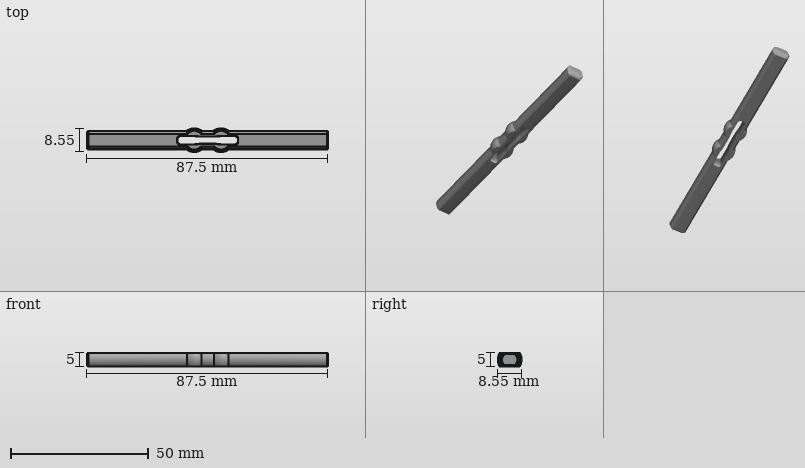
import cadquery as cq

bar_length = 87.5
bar_diameter = 6.7
thickness = 5.0
end_chamfer = 0.5

bulge_diameter = 8.55
bulge_spacing = 9.75

slot_length = 22.0
slot_width = 3.0
slot_corner_radius = 1.0
waist_width = 2.55
waist_length = 5.75
waist_taper_start = bulge_spacing / 2


def flat_slab():
    """Space between the top and bottom flats."""
    return cq.Workplane("XY").box(bar_length, bulge_diameter, thickness)


def bar():
    """Flatted rod with chamfered ends."""
    rod = (
        cq.Workplane("YZ")
        .circle(bar_diameter / 2)
        .extrude(bar_length / 2, both=True)
    )
    return rod.intersect(flat_slab()).faces("<X or >X").chamfer(end_chamfer)


def bulges():
    """Pair of spheres cut to the bar thickness."""
    spheres = (
        cq.Workplane("XY")
        .pushPoints([(-bulge_spacing / 2, 0), (bulge_spacing / 2, 0)])
        .sphere(bulge_diameter / 2, direct=(1, 0, 0))
    )
    return spheres.intersect(flat_slab())


def slot():
    """Cutter for the slot: straight ends tapering to a narrower waist."""
    upper_edge = [
        (slot_length / 2, slot_width / 2),
        (waist_taper_start, slot_width / 2),
        (waist_length / 2, waist_width / 2),
        (-waist_length / 2, waist_width / 2),
        (-waist_taper_start, slot_width / 2),
        (-slot_length / 2, slot_width / 2),
    ]
    lower_edge = [(-x, -y) for x, y in upper_edge]
    prism = (
        cq.Workplane("XY")
        .polyline(upper_edge + lower_edge)
        .close()
        .extrude(thickness, both=True)
    )
    end_corners = prism.faces("<X or >X").edges("|Z")
    return end_corners.fillet(slot_corner_radius)


result = bar().union(bulges()).cut(slot())